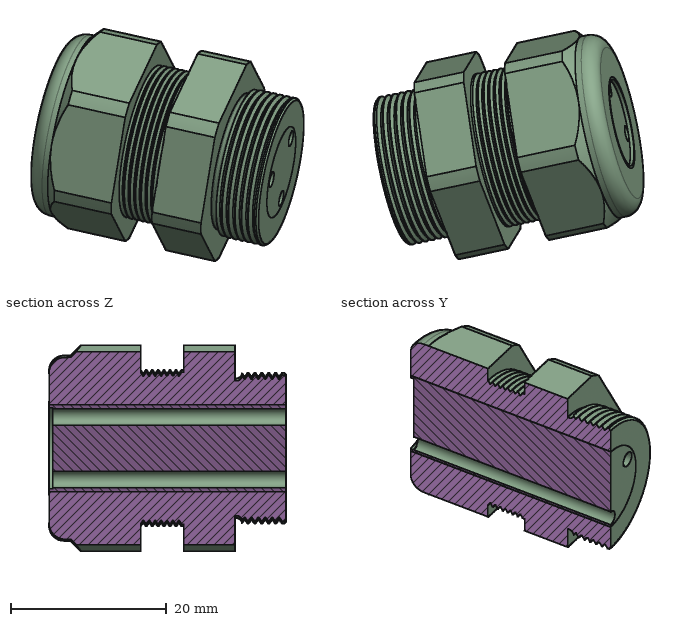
import cadquery as cq
import math


length = 30.48
across_flats = 23.87
across_corners = 26.5

cap_rim_end = 2.8
cap_end = 11.83
hex_start = 17.3
hex_end = 23.93

rim_radius = across_flats / 2
rim_round = 2.0
bevel = across_corners / 2 - rim_radius

crest_flat = 0.1

neck_crest_radius = 10.05
neck_root_radius = 9.57
neck_pitch = 0.75
neck_first_groove = 12.13
neck_groove_count = 7

tail_crest_radius = 9.72
tail_root_radius = 9.17
tail_pitch = 0.88
tail_first_groove = 25.15
tail_groove_count = 6
tail_end_chamfer = 0.27

relief_radius = 9.0
relief_length = 0.15
relief_run_out_radius = tail_crest_radius - relief_radius

bore_radius = 6.0
recess_radius = 5.67
recess_depth = 0.5
wire_hole_diameter = 2.0
wire_hole_circle_radius = 4.63
wire_hole_count = 3
first_hole_angle = -90.0


def cylinder(start, end, radius):
    """Solid cylinder along X between two stations."""
    return cq.Workplane("YZ", origin=(start, 0, 0)).circle(radius).extrude(end - start)


def hex_prism(start, end):
    """Hexagon with flats on top and bottom and its corners turned round."""
    corner_to_corner = across_flats / (math.cos(math.radians(30)))
    prism = cq.Workplane("YZ", origin=(start, 0, 0)).polygon(6, corner_to_corner).extrude(end - start)
    return prism.intersect(cylinder(start, end, across_corners / 2))


def groove_thread(blank, first_groove, pitch, count, crest_radius, root_radius):
    """Cut a row of V-shaped ring grooves into a round blank."""
    half_width = (pitch - crest_flat) / 2
    for index in range(count):
        middle = first_groove + index * pitch
        groove = (
            cq.Workplane("XY")
            .moveTo(middle, root_radius)
            .lineTo(middle + half_width, crest_radius)
            .lineTo(middle - half_width, crest_radius)
            .close()
            .revolve(360, (0, 0, 0), (1, 0, 0))
        )
        blank = blank.cut(groove)
    return blank


def make_cap():
    rim = cylinder(0, cap_rim_end, rim_radius).faces("<X").edges().fillet(rim_round)
    corner_bevel_end = cap_rim_end + bevel
    envelope = (
        cq.Workplane("XY")
        .moveTo(cap_rim_end, 0)
        .lineTo(cap_rim_end, rim_radius)
        .lineTo(corner_bevel_end, across_corners / 2)
        .lineTo(cap_end, across_corners / 2)
        .lineTo(cap_end, 0)
        .close()
        .revolve(360, (0, 0, 0), (1, 0, 0))
    )
    return rim.union(hex_prism(cap_rim_end, cap_end).intersect(envelope))


def make_neck_thread():
    blank = cylinder(cap_end, hex_start, neck_crest_radius)
    return groove_thread(
        blank, neck_first_groove, neck_pitch, neck_groove_count, neck_crest_radius, neck_root_radius
    )


def make_tail_thread():
    run_out_start = hex_end + relief_length
    run_out_end = run_out_start + relief_run_out_radius
    blank = (
        cq.Workplane("XY")
        .moveTo(hex_end, 0)
        .lineTo(hex_end, relief_radius)
        .lineTo(run_out_start, relief_radius)
        .radiusArc((run_out_end, tail_crest_radius), -relief_run_out_radius)
        .lineTo(length - tail_end_chamfer, tail_crest_radius)
        .lineTo(length, tail_crest_radius - tail_end_chamfer)
        .lineTo(length, 0)
        .close()
        .revolve(360, (0, 0, 0), (1, 0, 0))
    )
    return groove_thread(
        blank, tail_first_groove, tail_pitch, tail_groove_count, tail_crest_radius, tail_root_radius
    )


def make_housing():
    outside = make_cap().union(make_neck_thread()).union(hex_prism(hex_start, hex_end))
    outside = outside.union(make_tail_thread())
    return outside.cut(cylinder(0, length, bore_radius))


def make_insert():
    plug = cylinder(0, length, bore_radius).cut(cylinder(0, recess_depth, recess_radius))
    wire_holes = (
        cq.Workplane("YZ")
        .polarArray(wire_hole_circle_radius, first_hole_angle, 360, wire_hole_count)
        .circle(wire_hole_diameter / 2)
        .extrude(length)
    )
    return plug.cut(wire_holes)


housing = make_housing()
insert = make_insert()

result = cq.Compound.makeCompound([housing.val(), insert.val()])